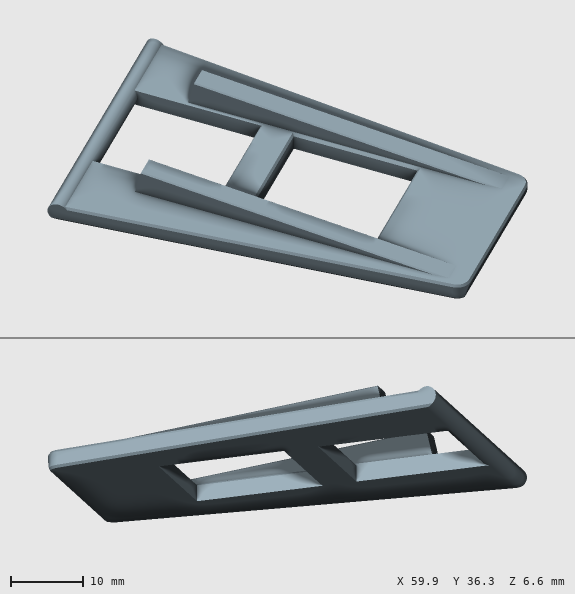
import cadquery as cq
import math

length = 59.9
bar_diameter = 3.0
bar_radius = bar_diameter / 2
plate_thickness = 2.65
overall_width = 36.35
wide_half_width = overall_width / 2
narrow_half_width = 12.05
end_lean_angle = 13
end_lean = math.tan(math.radians(end_lean_angle))
corner_radius = 2.05
rim_chamfer_height = 0.35
rim_chamfer_width = 0.25

window_half_width = 7.65
bar_window_end = 21.2
bar_window_round = 0.5
middle_window_start = 26.25
middle_window_end = 44.7
window_chamfer = 0.3

rib_height = 6.6
rib_start = 10.25
rib_tip = 57.0
rib_inner = 8.2
rib_width = 3.05
rib_chamfer = 0.2


def extrude_across(points, y_start, width):
    """Extrude an XZ outline along +Y from y_start."""
    return cq.Workplane("XZ", origin=(0, y_start, 0)).polyline(points).close().extrude(-width)


def make_tapered_prism():
    """Tapered plan outline with rounded end corners and a chamfered lower rim."""
    outline = [
        (0, -wide_half_width),
        (length, -narrow_half_width),
        (length, narrow_half_width),
        (0, wide_half_width),
    ]
    prism = cq.Workplane("XY").polyline(outline).close().extrude(bar_diameter)
    prism = prism.edges("|Z and >X").fillet(corner_radius)
    return prism.faces("<Z").edges("not <X").chamfer(rim_chamfer_height, rim_chamfer_width)


def make_plate(prism):
    """Plate with a leaning end face and a chamfered upper rim."""
    slab_profile = [
        (bar_radius, 0),
        (length, 0),
        (length, plate_thickness),
        (bar_radius, plate_thickness),
    ]
    slab = extrude_across(slab_profile, -wide_half_width, overall_width).intersect(prism)
    plate = slab.faces(">Z").edges("not <X").chamfer(rim_chamfer_height, rim_chamfer_width)
    lean_height = plate_thickness - rim_chamfer_height
    under_end = [
        (length - end_lean * lean_height, 0),
        (length, lean_height),
        (length, 0),
    ]
    return plate.cut(extrude_across(under_end, -wide_half_width, overall_width))


def make_bar(prism):
    """Round bar along the wide end, trimmed by the tapered sides."""
    bar = (
        cq.Workplane("XZ", origin=(bar_radius, -wide_half_width, bar_radius))
        .circle(bar_radius)
        .extrude(-overall_width)
    )
    return bar.intersect(prism)


def make_bar_window():
    """Opening from the bar to a straight far wall with a rounded upper edge."""
    profile = (
        cq.Workplane("XZ", origin=(0, -window_half_width, 0))
        .moveTo(bar_radius, 0)
        .lineTo(bar_window_end, 0)
        .lineTo(bar_window_end, plate_thickness - bar_window_round)
        .radiusArc((bar_window_end + bar_window_round, plate_thickness), bar_window_round)
        .lineTo(bar_radius, plate_thickness)
        .close()
    )
    return profile.extrude(-2 * window_half_width)


def make_middle_window():
    """Straight opening flared by a chamfer at the top face."""
    window_length = middle_window_end - middle_window_start
    width = 2 * window_half_width
    center = ((middle_window_start + middle_window_end) / 2, 0)
    hole = cq.Workplane("XY").center(*center).rect(window_length, width).extrude(plate_thickness)
    flare = (
        cq.Workplane("XY", origin=(0, 0, plate_thickness))
        .center(*center)
        .rect(window_length + 2 * window_chamfer, width + 2 * window_chamfer)
        .extrude(-window_chamfer, taper=45)
    )
    return hole.union(flare)


def make_rib():
    """Wedge on the +Y side, leaning at its tall end and fading into the plate."""
    rise = rib_height - plate_thickness
    root = plate_thickness / 2
    sink = plate_thickness - root
    profile = [
        (rib_start - end_lean * sink, root),
        (rib_tip, root),
        (rib_tip, plate_thickness),
        (rib_start + end_lean * rise, rib_height),
    ]
    rib = extrude_across(profile, rib_inner, rib_width)
    return rib.edges("not |Y").edges(">Z").chamfer(rib_chamfer)


prism = make_tapered_prism()
plate = make_plate(prism).cut(make_bar_window()).cut(make_middle_window())
rib = make_rib()
result = plate.union(make_bar(prism)).union(rib).union(rib.mirror("XZ"))